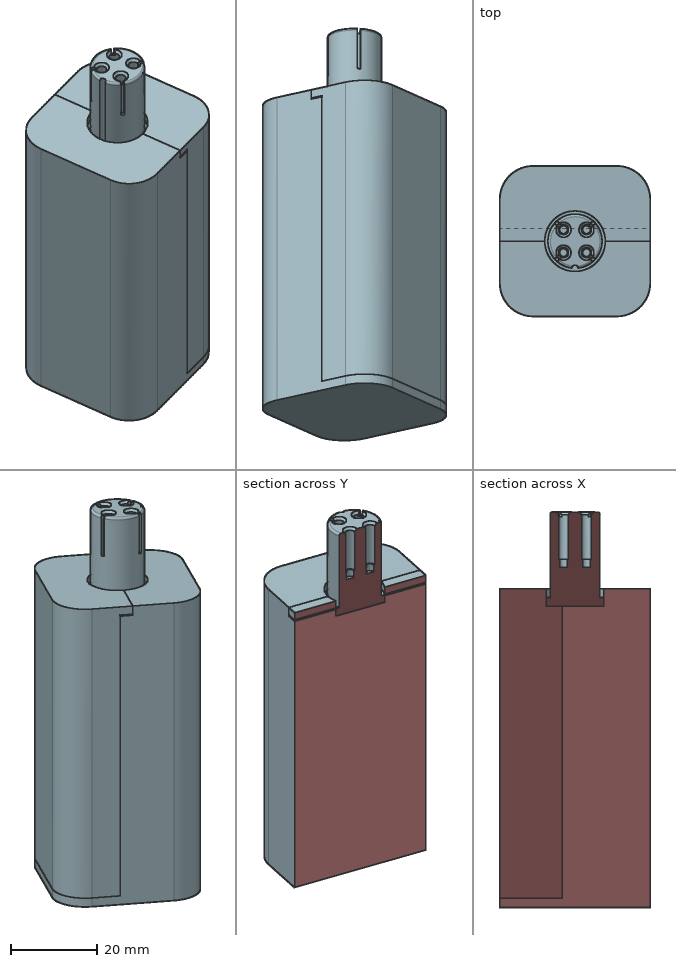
import cadquery as cq
import math

total_height = 91.85
case_side = 35.0
case_height = 74.0
corner_radius = 7.8

joint_y = 3.0
floor_thickness = 2.2
lip_thickness = 2.0
lip_gap = 0.3
lip_bottom = case_height - lip_thickness
shelf_z = lip_bottom - lip_gap

barrel_diameter = 12.6
barrel_radius = barrel_diameter / 2
flange_diameter = 14.05
flange_thickness = 2.0
flange_top = lip_bottom
flange_bottom = flange_top - flange_thickness
rim_fillet = 0.55

key_diameter = 1.5

contact_count = 4
contact_pitch = 5.3
contact_circle_radius = contact_pitch / math.sqrt(2)
contact_angle_start = 45
countersink_diameter = 3.5
countersink_depth = 0.6
contact_diameter = 2.3
contact_depth = 11.0
tip_diameter = 1.8
tip_depth = 12.9
socket_diameter = 3.5
socket_depth = 1.1
slot_width = 0.8
slot_depth = 10.0


def case_block():
    """Whole outer block of the case, standing on Z = 0."""
    block = cq.Workplane("XY").rect(case_side, case_side).extrude(case_height)
    return block.edges("|Z").fillet(corner_radius)


def connector_seat():
    """Round pocket from the flange bottom up through the case top."""
    seat = cq.Workplane("XY").workplane(offset=flange_bottom)
    return seat.circle(flange_diameter / 2).extrude(case_height - flange_bottom)


def joint_prism(points):
    """YZ outline swept across the full width of the case."""
    return cq.Workplane("YZ").polyline(points).close().extrude(case_side / 2, both=True)


def make_base():
    half = case_side / 2
    outline = joint_prism([
        (-half, 0),
        (half, 0),
        (half, floor_thickness),
        (joint_y, floor_thickness),
        (joint_y, shelf_z),
        (0, shelf_z),
        (0, case_height),
        (-half, case_height),
    ])
    return case_block().intersect(outline).cut(connector_seat())


def make_cover():
    half = case_side / 2
    outline = joint_prism([
        (half, floor_thickness),
        (half, case_height),
        (0, case_height),
        (0, lip_bottom),
        (joint_y, lip_bottom),
        (joint_y, floor_thickness),
    ])
    return case_block().intersect(outline).cut(connector_seat())


def connector_blank():
    """Flange and barrel as one round shape with a rounded rim."""
    flange = (
        cq.Workplane("XY")
        .workplane(offset=flange_bottom)
        .circle(flange_diameter / 2)
        .extrude(flange_thickness)
    )
    barrel_height = total_height - flange_top
    blank = flange.faces(">Z").workplane().circle(barrel_radius).extrude(barrel_height)
    return blank.faces(">Z").edges().fillet(rim_fillet)


def key_groove():
    groove = cq.Workplane("XY").workplane(offset=flange_top).center(0, -barrel_radius)
    return groove.circle(key_diameter / 2).extrude(total_height - flange_top)


def contact_hole():
    """Blind countersunk hole that narrows at its bottom."""
    shoulder_z = total_height - contact_depth
    bottom_z = total_height - tip_depth
    profile = cq.Workplane("XZ").polyline([
        (0, total_height),
        (countersink_diameter / 2, total_height),
        (contact_diameter / 2, total_height - countersink_depth),
        (contact_diameter / 2, shoulder_z),
        (tip_diameter / 2, shoulder_z),
        (tip_diameter / 2, bottom_z),
        (0, bottom_z),
    ]).close()
    hole = profile.revolve(360, (0, 0, 0), (0, 1, 0))
    return hole.translate((contact_circle_radius, 0, 0))


def contact_slot():
    """Round-bottomed slot through the barrel wall that leaves the socket wall whole."""
    half_width = slot_width / 2
    arc_center_z = total_height - slot_depth + half_width
    slot = (
        cq.Workplane("YZ", origin=(contact_circle_radius, 0, 0))
        .moveTo(-half_width, total_height)
        .lineTo(-half_width, arc_center_z)
        .threePointArc((0, arc_center_z - half_width), (half_width, arc_center_z))
        .lineTo(half_width, total_height)
        .close()
        .extrude(barrel_radius)
    )
    socket_wall = (
        cq.Workplane("XY", origin=(contact_circle_radius, 0, 0))
        .circle(socket_diameter / 2)
        .extrude(total_height - socket_depth)
    )
    return slot.cut(socket_wall)


def make_connector():
    connector = connector_blank().cut(key_groove())
    for index in range(contact_count):
        angle = contact_angle_start + index * 360 / contact_count
        for cutter in (contact_hole(), contact_slot()):
            connector = connector.cut(cutter.rotate((0, 0, 0), (0, 0, 1), angle))
    return connector


base = make_base()
cover = make_cover()
connector = make_connector()

result = cq.Compound.makeCompound([base.val(), cover.val(), connector.val()])